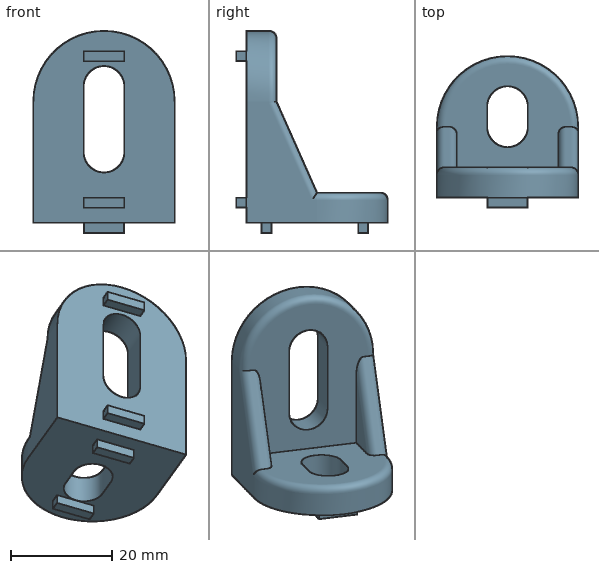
import cadquery as cq

width = 28.0
thickness = 6.0
edge_round = 1.5
end_radius = width / 2

base_length = 28.0
wall_height = 38.0

gusset_width = 4.0
gusset_top = wall_height - end_radius
gusset_front = base_length - end_radius

slot_width = 8.0
slot_start = 10.0
base_slot_end = 22.0
wall_slot_end = 31.0

key_width = slot_width
key_size = 2.0
near_key_start = 3.0
base_far_key_start = 22.1
wall_far_key_start = 32.0


def make_plate(length):
    """Flat plate from y = 0 to a full round end, its upper outline rounded over."""
    straight = length - end_radius
    blank = (
        cq.Workplane("XY")
        .moveTo(-end_radius, 0)
        .lineTo(end_radius, 0)
        .lineTo(end_radius, straight)
        .threePointArc((0, length), (-end_radius, straight))
        .close()
        .extrude(thickness)
    )
    return blank.faces(">Z").edges("not <Y").fillet(edge_round)


def make_slot(slot_end):
    """Cutter for a lengthwise through slot."""
    return (
        cq.Workplane("XY")
        .center(0, (slot_start + slot_end) / 2)
        .slot2D(slot_end - slot_start, slot_width, 90)
        .extrude(thickness)
    )


def make_keys(far_key_start):
    """Two square-section cross keys under a plate."""
    keys = cq.Workplane("XY")
    for start in (near_key_start, far_key_start):
        key = cq.Workplane("XY").box(key_width, key_size, key_size, centered=(True, False, False))
        keys = keys.add(key.translate((0, start, -key_size)))
    return keys.combine()


def stand_up(body):
    """Swap Y and Z by a half turn about the diagonal between them."""
    return body.rotate((0, 0, 0), (0, 1, 1), 180)


def make_gusset(x_start):
    """Sloping side web with both long edges rounded."""
    slope_normal = cq.Vector(0, gusset_top - thickness, gusset_front - thickness)
    return (
        cq.Workplane("YZ")
        .polyline([
            (0, 0),
            (gusset_front, 0),
            (gusset_front, thickness),
            (thickness, gusset_top),
            (0, gusset_top),
        ])
        .close()
        .extrude(gusset_width)
        .faces(cq.DirectionMinMaxSelector(slope_normal))
        .edges("not |X")
        .fillet(edge_round)
        .translate((x_start, 0, 0))
    )


body = make_plate(base_length).union(stand_up(make_plate(wall_height)))
for gusset_x in (-width / 2, width / 2 - gusset_width):
    body = body.union(make_gusset(gusset_x))

body = body.cut(make_slot(base_slot_end))
body = body.cut(stand_up(make_slot(wall_slot_end)))

body = body.union(make_keys(base_far_key_start))
result = body.union(stand_up(make_keys(wall_far_key_start)))